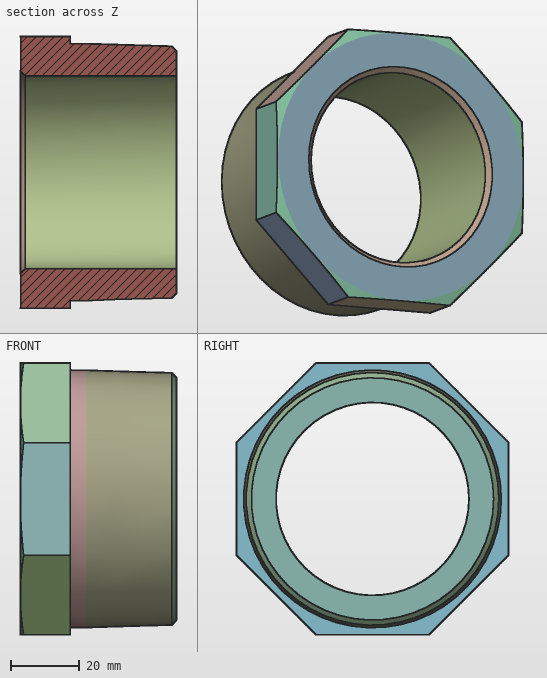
import cadquery as cq
import math

flat_count = 8
across_flats = 80.0
head_length = 14.7
head_chamfer_angle = 16.0
head_face_diameter = 79.7

total_length = 46.0
collar_diameter = 75.8
collar_length = 4.65
root_fillet = 0.25
taper_end_diameter = 74.25
tip_chamfer_length = 1.45
tip_chamfer_depth = 1.5

bore_diameter = 56.65
mouth_diameter = 59.7
mouth_depth = (mouth_diameter - bore_diameter) / 2

collar_end = head_length + collar_length
taper_end = total_length - tip_chamfer_length


def revolve_about_x(profile):
    """Turn a closed list of (x, radius) points about the X axis."""
    return cq.Workplane("XY").polyline(profile).close().revolve(360, (0, 0, 0), (1, 0, 0))


def make_head():
    """Octagonal prism with flats on Y and Z, its corners turned down at the outer face."""
    across_corners = across_flats / math.cos(math.pi / flat_count)
    prism = (
        cq.Workplane("YZ")
        .transformed(rotate=(0, 0, 180 / flat_count))
        .polygon(flat_count, across_corners)
        .extrude(head_length)
    )
    face_radius = head_face_diameter / 2
    corner_clearance = 0.8
    blank_radius = across_corners / 2 + corner_clearance
    chamfer_length = (blank_radius - face_radius) * math.tan(math.radians(head_chamfer_angle))
    turned_blank = revolve_about_x([
        (0, 0),
        (0, face_radius),
        (chamfer_length, blank_radius),
        (head_length, blank_radius),
        (head_length, 0),
    ])
    return prism.intersect(turned_blank)


def make_male_end():
    """Cylinder, taper and tip chamfer, starting at the outer face so that it overlaps the head."""
    collar_radius = collar_diameter / 2
    taper_end_radius = taper_end_diameter / 2
    return revolve_about_x([
        (0, 0),
        (0, collar_radius),
        (collar_end, collar_radius),
        (taper_end, taper_end_radius),
        (total_length, taper_end_radius - tip_chamfer_depth),
        (total_length, 0),
    ])


def fillet_collar_root(body):
    """Round the inner corner where the collar meets the back of the head."""
    tolerance = 0.01
    root_edge = body.edges("%CIRCLE").filter(lambda edge: abs(edge.Center().x - head_length) < tolerance)
    return root_edge.fillet(root_fillet)


def make_bore():
    """Through bore and its conical mouth."""
    bore_radius = bore_diameter / 2
    return revolve_about_x([
        (0, 0),
        (0, mouth_diameter / 2),
        (mouth_depth, bore_radius),
        (total_length, bore_radius),
        (total_length, 0),
    ])


body = make_head().union(make_male_end())
result = fillet_collar_root(body).cut(make_bore())